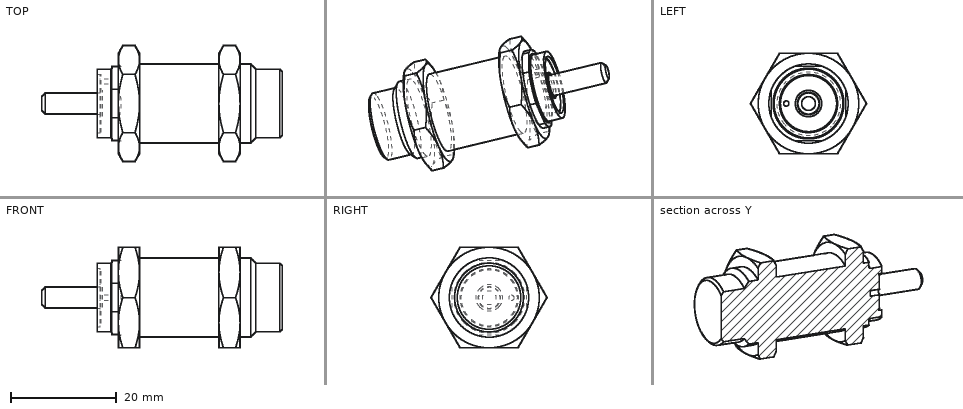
import cadquery as cq
import math

TOTAL_LENGTH = 45.5

PIN_DIAMETER = 4.0
PIN_CHAMFER = 0.7
PIN_PROJECTION = 10.5

BARREL_DIAMETER = 15.0
END_DIAMETER = 13.0
COLLAR_LENGTH = 2.6
COLLAR_FLARE = 0.2
BARREL_START = PIN_PROJECTION + COLLAR_LENGTH + COLLAR_FLARE
SHOULDER_CHAMFER = 1.0
REAR_END_LENGTH = 5.0
REAR_CHAMFER = 0.5
BARREL_END = TOTAL_LENGTH - REAR_END_LENGTH

FLATS_ACROSS = 14.0

NUT_ACROSS_FLATS = 19.0
NUT_THICKNESS = 4.0
NUT_BORE = 13.8
NUT_CHAMFER_ANGLE = math.radians(30)
NUT_STARTS = (14.5, 33.5)
NUT_COUNTERSINK = (BARREL_DIAMETER - NUT_BORE) / 2

RECESS_DIAMETER = 11.0
RECESS_DEPTH = 0.5
PLUG_CHAMFER = 0.2

SEAL_BORE_DIAMETER = 5.0
SEAL_LIP_DIAMETER = 4.2
SEAL_BORE_DEPTH = 0.5

VENT_DIAMETER = 1.0
VENT_OFFSET = 4.2
VENT_DEPTH = 2.0


def cylinder(start, length, diameter):
    """Cylinder on the X axis, running from `start` towards +X."""
    return cq.Workplane("YZ", origin=(start, 0, 0)).circle(diameter / 2).extrude(length)


def revolve(profile):
    """Revolve a closed (x, radius) profile about the X axis."""
    return cq.Workplane("XY").polyline(profile).close().revolve(360, (0, 0, 0), (1, 0, 0))


def cone(start, length, start_diameter, end_diameter):
    """Conical frustum on the X axis."""
    return revolve([
        (start, 0),
        (start, start_diameter / 2),
        (start + length, end_diameter / 2),
        (start + length, 0),
    ])


def make_barrel():
    """Stepped barrel, with the short flare that ends the front collar."""
    end_radius = END_DIAMETER / 2
    barrel_radius = BARREL_DIAMETER / 2
    return revolve([
        (PIN_PROJECTION, 0),
        (PIN_PROJECTION, end_radius),
        (PIN_PROJECTION + COLLAR_LENGTH, end_radius),
        (BARREL_START, end_radius + COLLAR_FLARE),
        (BARREL_START, barrel_radius),
        (BARREL_END - SHOULDER_CHAMFER, barrel_radius),
        (BARREL_END, end_radius),
        (TOTAL_LENGTH - REAR_CHAMFER, end_radius),
        (TOTAL_LENGTH, end_radius - REAR_CHAMFER),
        (TOTAL_LENGTH, 0),
    ])


def cut_flats(barrel):
    """Cut four flats that run from the collar to the bottom of the nut countersink."""
    length = NUT_STARTS[0] + NUT_COUNTERSINK - BARREL_START
    plane = cq.Workplane("YZ", origin=(BARREL_START, 0, 0))
    waste = plane.circle(BARREL_DIAMETER).rect(FLATS_ACROSS, FLATS_ACROSS).extrude(length)
    return barrel.cut(waste)


def make_nut(start):
    """Hexagon nut with corners across Y, chamfered outside on both faces."""
    across_corners = NUT_ACROSS_FLATS / math.cos(math.pi / 6)
    corner_chamfer = (across_corners - NUT_ACROSS_FLATS) / 2 * math.tan(NUT_CHAMFER_ANGLE)
    end = start + NUT_THICKNESS
    hexagon = cq.Workplane("YZ", origin=(start, 0, 0)).polygon(6, across_corners).extrude(NUT_THICKNESS)
    envelope = revolve([
        (start, 0),
        (start, NUT_ACROSS_FLATS / 2),
        (start + corner_chamfer, across_corners / 2),
        (end - corner_chamfer, across_corners / 2),
        (end, NUT_ACROSS_FLATS / 2),
        (end, 0),
    ])
    nut = hexagon.intersect(envelope).cut(cylinder(start, NUT_THICKNESS, NUT_BORE))
    return nut.cut(cone(start, NUT_COUNTERSINK, BARREL_DIAMETER, NUT_BORE))


def cut_plug_details(body):
    """Sink the plug into the collar, then add its edge chamfer, seal and vent hole."""
    plug_face = PIN_PROJECTION + RECESS_DEPTH
    body = body.cut(cylinder(PIN_PROJECTION, RECESS_DEPTH + PLUG_CHAMFER, RECESS_DIAMETER))
    body = body.union(cone(plug_face, PLUG_CHAMFER, RECESS_DIAMETER - 2 * PLUG_CHAMFER, RECESS_DIAMETER))
    body = body.cut(cylinder(plug_face, SEAL_BORE_DEPTH, SEAL_BORE_DIAMETER))
    body = body.union(cone(plug_face, SEAL_BORE_DEPTH, SEAL_LIP_DIAMETER, SEAL_BORE_DIAMETER))
    vent = cq.Workplane("YZ", origin=(plug_face, VENT_OFFSET, 0)).circle(VENT_DIAMETER / 2).extrude(VENT_DEPTH)
    return body.cut(vent)


def make_pin():
    """Plunger pin with a chamfered tip, rooted in the seal."""
    root = PIN_PROJECTION + RECESS_DEPTH + SEAL_BORE_DEPTH
    return cylinder(0, root, PIN_DIAMETER).faces("<X").edges().chamfer(PIN_CHAMFER)


result = cut_plug_details(cut_flats(make_barrel()))
for nut_start in NUT_STARTS:
    result = result.union(make_nut(nut_start))
result = result.union(make_pin())